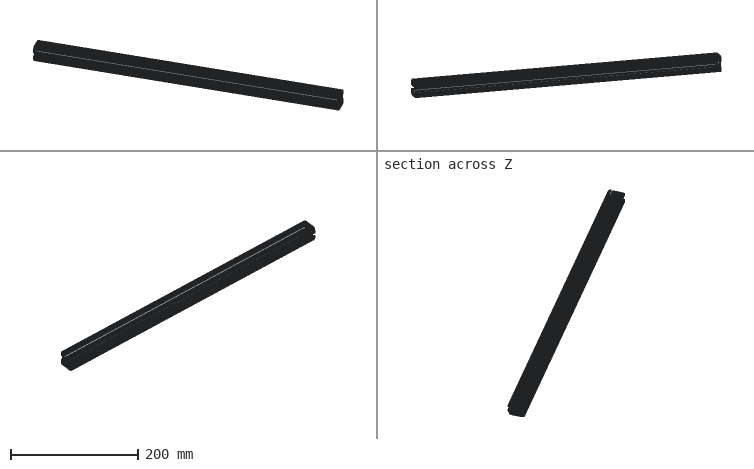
import cadquery as cq
import math

length = 500.0
depth = 25.0
height = 23.5
half_depth = depth / 2
half_height = height / 2

tooth_count = 4
tooth_pitch = 4.0
tooth_depth = 0.7
step_width = 0.3
ramp_slope = tooth_depth / (tooth_pitch - step_width)

flange_thickness = 3.6
flange_inner_z = half_height - flange_thickness
corner_radius = 1.75

web_setback = 3.15
web_thickness = 1.5
web_outer_y = half_depth - web_setback
web_inner_y = web_outer_y - web_thickness

edge_inner_z = 5.5
channel_y = 10.0
channel_z = 8.0
channel_width = 1.5
channel_height = 2.5

lip_run = 3.4
lip_root_y = -half_depth + lip_run
lip_tip_z = 4.65
lip_drop = half_height - lip_tip_z
lip_thickness = 1.25

fin_count = 3
fin_pitch = 4.5
fin_width = 1.4
first_fin_y = -4.85
fin_tip_z = 4.0


def tooth_points():
    """Outer face of the upper flange, from its web-side corner to the root of the lip."""
    first_peak_y = lip_root_y + tooth_count * tooth_pitch
    corner_z = half_height - ramp_slope * (half_depth - first_peak_y)
    points = [(half_depth, corner_z)]
    for i in range(tooth_count):
        peak_y = first_peak_y - i * tooth_pitch
        points.append((peak_y, half_height))
        points.append((peak_y - step_width, half_height - tooth_depth))
    points.append((lip_root_y, half_height))
    return points


def lip_points():
    """Square-ended lip, from its outer tip to where its inner face meets the flange."""
    slant = math.hypot(lip_run, lip_drop)
    inner_tip_y = -half_depth + lip_thickness * lip_drop / slant
    inner_tip_z = lip_tip_z - lip_thickness * lip_run / slant
    inner_root_y = inner_tip_y + (flange_inner_z - inner_tip_z) * lip_run / lip_drop
    return [
        (-half_depth, lip_tip_z),
        (inner_tip_y, inner_tip_z),
        (inner_root_y, flange_inner_z),
    ]


def fin_points():
    """Inner face of the upper flange with its fins, from the lip towards the web."""
    points = []
    for i in range(fin_count):
        fin_y = first_fin_y + i * fin_pitch
        lip_side_y = fin_y - fin_width / 2
        web_side_y = fin_y + fin_width / 2
        points += [
            (lip_side_y, flange_inner_z),
            (lip_side_y, fin_tip_z),
            (web_side_y, fin_tip_z),
            (web_side_y, flange_inner_z),
        ]
    return points


def upper_half_outline():
    """Closed (Y, Z) outline of the section above Z = 0."""
    return [
        (half_depth, edge_inner_z),
        *tooth_points(),
        *lip_points(),
        *fin_points(),
        (web_inner_y, flange_inner_z),
        (web_inner_y, 0),
        (web_outer_y, 0),
        (web_outer_y, edge_inner_z),
    ]


def upper_half():
    """Upper flange with its lip, fins and channel, and the upper half of the web."""
    section = cq.Workplane("YZ").polyline(upper_half_outline()).close()
    body = section.extrude(length / 2, both=True)
    body = body.faces(">Y").edges(">Z").fillet(corner_radius)
    channel = (
        cq.Workplane("YZ")
        .center(channel_y, channel_z)
        .rect(channel_width, channel_height)
        .extrude(length / 2, both=True)
    )
    return body.cut(channel)


upper = upper_half()
result = upper.union(upper.mirror("XY")).clean()